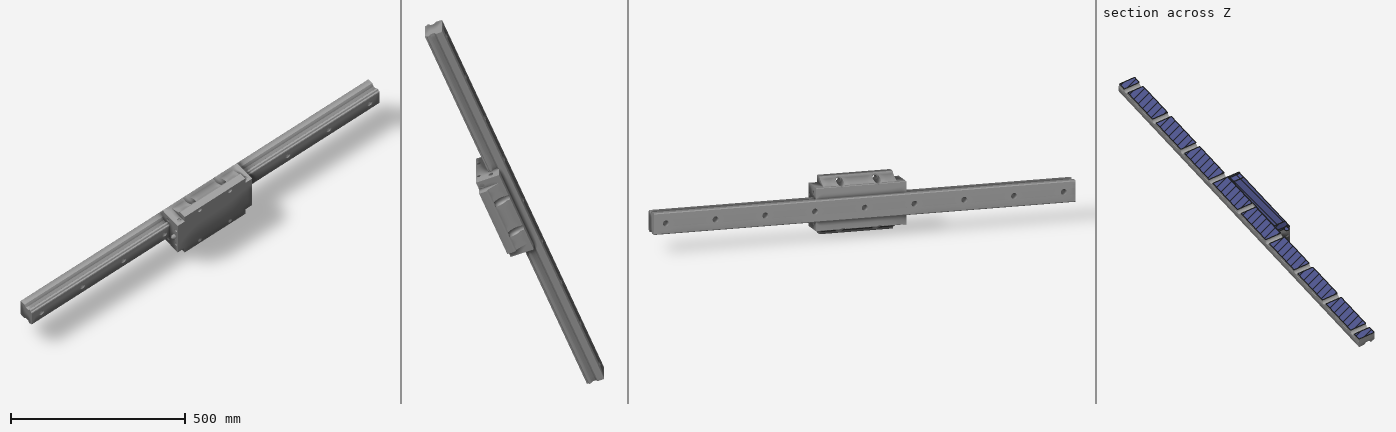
import cadquery as cq

rail_length = 1270.0
rail_half_width = 32.0
rail_height = 53.0
base_chamfer = 3.0
base_height = 19.0
waist_half_width = 24.0
waist_start = 25.0
waist_end = 33.0
head_outline = [(37.0, 25.0), (41.0, 32.0), (46.0, 32.0), (48.0, 28.0), (52.0, 28.0)]
head_top_half_width = 25.0
base_relief_width = 19.0
base_relief_depth = 0.6
mark_groove_z = 22.0
mark_groove_width = 3.0
mark_groove_depth = 1.0
rail_hole_diameter = 18.0
rail_hole_pitch = 150.0
rail_hole_count = 9

carriage_y = 4.5
carriage_length = 221.0
carriage_bottom = 19.0
carriage_top = 90.0
body_half_width = 64.0
body_edge_chamfer = 1.0
flange_half_width = 85.0
flange_foot = 30.0
slope_end = 62.0
slope_end_half_width = 77.0
knee = 65.0
knee_half_width = 83.0
flange_edge = 69.0
mount_hole_diameter = 14.0
mount_hole_spacing = 110.0
mount_hole_z = 71.0
spot_face_diameter = 22.0
spot_face_level = 65.0

cap_length = 20.0
seal_thickness = 5.0
cap_end = carriage_length / 2 + cap_length
seal_end = cap_end + seal_thickness

lower_recess_diameter = 14.0
lower_bore_diameter = 5.5
lower_screw_x = 45.0
lower_screw_z = 45.0
upper_recess_diameter = 10.4
upper_bore_diameter = 4.2
upper_screw_x = 81.0
upper_screw_z = 33.0

port_x = 77.0
port_diameter = 14.0
port_depth = 3.0

nipple_x = 76.0
nipple_shank_diameter = 8.8
nipple_head_diameter = 14.0
nipple_head_length = 6.0
nipple_tip_diameter = 5.5
nipple_tip_length = 5.0
seal_hole_diameter = 5.5
seal_hole_z = -11.0


def mirrored_profile(upper_half):
    """Close a profile that is symmetric about the X axis, given its +Z half from low X to high X."""
    lower_half = [(x, -z) for x, z in reversed(upper_half)]
    return upper_half + lower_half


def extrude_along_y(profile, y_start, y_end):
    """Extrude an (X, Z) profile between two Y positions."""
    section = cq.Workplane("XZ", origin=(0, y_start, 0)).polyline(profile).close()
    return section.extrude(y_start - y_end)


def cylinder_x(diameter, x_start, x_end, y, z):
    """Cylinder with its axis along X."""
    circle = cq.Workplane("YZ", origin=(x_start, y, z)).circle(diameter / 2)
    return circle.extrude(x_end - x_start)


def cylinder_y(diameter, y_start, y_end, x, z):
    """Cylinder with its axis along Y."""
    circle = cq.Workplane("XZ", origin=(x, y_start, z)).circle(diameter / 2)
    return circle.extrude(y_start - y_end)


def cylinder_z(diameter, z_start, z_end, x, y):
    """Cylinder with its axis along Z."""
    circle = cq.Workplane("XY", origin=(x, y, z_start)).circle(diameter / 2)
    return circle.extrude(z_end - z_start)


rail_profile = mirrored_profile([
    (0, rail_half_width - base_chamfer),
    (base_chamfer, rail_half_width),
    (base_height, rail_half_width),
    (waist_start, waist_half_width),
    (waist_end, waist_half_width),
    *head_outline,
    (rail_height, head_top_half_width),
])
channel = extrude_along_y(rail_profile, -rail_length / 2, rail_length / 2)

cap_profile = mirrored_profile([
    (carriage_bottom, body_half_width - body_edge_chamfer),
    (carriage_bottom + body_edge_chamfer, body_half_width),
    (carriage_top, body_half_width),
])


def make_rail():
    """Rail with a relieved base, a marking groove on its +Z half and a row of bolt holes."""
    relief = cq.Workplane("XY").box(2 * base_relief_depth, rail_length, base_relief_width)
    mark = cq.Workplane("XY").box(2 * mark_groove_depth, rail_length, mark_groove_width)
    rail = channel.cut(relief).cut(mark.translate((0, 0, mark_groove_z)))
    first_hole_y = -rail_hole_pitch * (rail_hole_count - 1) / 2
    for index in range(rail_hole_count):
        hole_y = first_hole_y + index * rail_hole_pitch
        rail = rail.cut(cylinder_x(rail_hole_diameter, 0, rail_height, hole_y, 0))
    return rail


def make_carriage():
    """Flanged block with four mounting holes, each spot-faced into the sloping side."""
    profile = mirrored_profile([
        (carriage_bottom, body_half_width - body_edge_chamfer),
        (carriage_bottom + body_edge_chamfer, body_half_width),
        (flange_foot, body_half_width),
        (slope_end, slope_end_half_width),
        (knee, knee_half_width),
        (flange_edge, flange_half_width),
        (carriage_top, flange_half_width),
    ])
    y_start = carriage_y - carriage_length / 2
    carriage = extrude_along_y(profile, y_start, y_start + carriage_length).cut(channel)
    for y_side in (-1, 1):
        hole_y = carriage_y + y_side * mount_hole_spacing / 2
        for z_side in (-1, 1):
            hole_z = z_side * mount_hole_z
            spot_face = cylinder_x(spot_face_diameter, carriage_bottom, spot_face_level, hole_y, hole_z)
            hole = cylinder_x(mount_hole_diameter, spot_face_level, carriage_top, hole_y, hole_z)
            carriage = carriage.cut(spot_face).cut(hole)
    return carriage


def cut_screw_holes(plate, y_start, y_end, lower_diameter, upper_diameter):
    """Cut the two lower and two upper screw holes through an end plate."""
    for z_side in (-1, 1):
        lower_z = z_side * lower_screw_z
        upper_z = z_side * upper_screw_z
        plate = plate.cut(cylinder_y(lower_diameter, y_start, y_end, lower_screw_x, lower_z))
        plate = plate.cut(cylinder_y(upper_diameter, y_start, y_end, upper_screw_x, upper_z))
    return plate


def make_end_cap(y_side):
    """End cap with screw bores in its end face and a round grease port on each outer side."""
    y_inner = carriage_y + y_side * carriage_length / 2
    y_outer = carriage_y + y_side * cap_end
    cap = extrude_along_y(cap_profile, y_inner, y_outer).cut(channel)
    cap = cut_screw_holes(cap, y_inner, y_outer, lower_bore_diameter, upper_bore_diameter)
    port_y = (y_inner + y_outer) / 2
    for z_side in (-1, 1):
        z_face = z_side * body_half_width
        z_floor = z_side * (body_half_width - port_depth)
        cap = cap.cut(cylinder_z(port_diameter, z_face, z_floor, port_x, port_y))
    return cap


def make_end_seal(y_side):
    """Thin end plate with screw holes and, on the -Y end, the holes around the grease nipple."""
    y_inner = carriage_y + y_side * cap_end
    y_outer = carriage_y + y_side * seal_end
    seal = extrude_along_y(cap_profile, y_inner, y_outer).cut(channel)
    seal = cut_screw_holes(seal, y_inner, y_outer, lower_recess_diameter, upper_recess_diameter)
    if y_side < 0:
        seal = seal.cut(cylinder_y(nipple_shank_diameter, y_inner, y_outer, nipple_x, 0))
        seal = seal.cut(cylinder_y(seal_hole_diameter, y_inner, y_outer, nipple_x, seal_hole_z))
    return seal


def make_nipple():
    """Grease nipple: shank in the seal, round head and a tapered tip."""
    y_root = carriage_y - cap_end
    y_seat = carriage_y - seal_end
    y_head = y_seat - nipple_head_length
    y_tip = y_head - nipple_tip_length
    profile = [
        (0, y_root),
        (nipple_shank_diameter / 2, y_root),
        (nipple_shank_diameter / 2, y_seat),
        (nipple_head_diameter / 2, y_seat),
        (nipple_head_diameter / 2, y_head),
        (nipple_tip_diameter / 2, y_tip),
        (0, y_tip),
    ]
    section = cq.Workplane("XY", origin=(nipple_x, 0, 0)).polyline(profile).close()
    return section.revolve(360, (0, 0, 0), (0, 1, 0))


rail = make_rail()
carriage = make_carriage()
end_caps = [make_end_cap(y_side) for y_side in (-1, 1)]
end_seals = [make_end_seal(y_side) for y_side in (-1, 1)]
nipple = make_nipple()

result = cq.Compound.makeCompound([
    rail.val(),
    carriage.val(),
    *[cap.val() for cap in end_caps],
    *[seal.val() for seal in end_seals],
    nipple.val(),
])